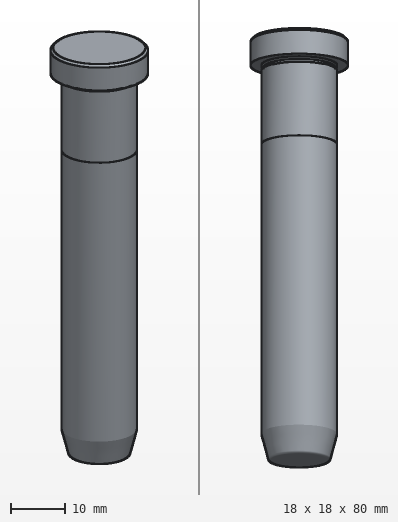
import cadquery as cq

total_length = 80.0
shank_diameter = 14.0
shank_radius = shank_diameter / 2

upper_length = total_length / 4

head_diameter = 18.0
head_radius = head_diameter / 2
head_height = upper_length / 4
head_chamfer = 0.5

groove_height = head_height / 5
groove_depth = 0.4
groove_flank = 0.4
neck_radius = shank_radius - groove_depth

nose_height = head_height
nose_end_radius = 5.7
nose_rounding = 0.5

head_bottom = total_length - head_height
groove_bottom = head_bottom - groove_height
split_level = total_length - upper_length


def make_headed_section():
    """Head, relief groove and the upper stretch of the shank."""
    profile = (
        cq.Workplane("XZ")
        .moveTo(0, split_level)
        .lineTo(shank_radius, split_level)
        .lineTo(shank_radius, groove_bottom)
        .lineTo(neck_radius, groove_bottom)
        .lineTo(neck_radius, head_bottom - groove_flank)
        .lineTo(neck_radius + groove_flank, head_bottom)
        .lineTo(head_radius, head_bottom)
        .lineTo(head_radius, total_length)
        .lineTo(0, total_length)
        .close()
    )
    section = profile.revolve(360, (0, 0, 0), (0, 1, 0))
    return section.faces(">Z").edges().chamfer(head_chamfer)


def make_nosed_section():
    """Long lower stretch of the shank with its tapered, rounded nose."""
    profile = (
        cq.Workplane("XZ")
        .lineTo(nose_end_radius, 0)
        .lineTo(shank_radius, nose_height)
        .lineTo(shank_radius, split_level)
        .lineTo(0, split_level)
        .close()
    )
    section = profile.revolve(360, (0, 0, 0), (0, 1, 0))
    return section.faces("<Z").edges().fillet(nose_rounding)


headed_section = make_headed_section()
nosed_section = make_nosed_section()

result = cq.Compound.makeCompound([headed_section.val(), nosed_section.val()])